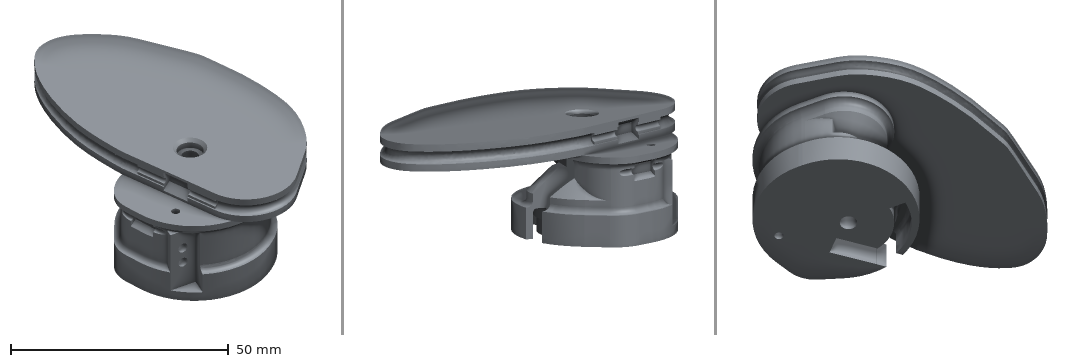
import cadquery as cq
import math

BASE_TOP = 7.45
LOWER_NECK_TOP = 10.65
UPPER_NECK_BOTTOM = 16.4
UPPER_FLANGE_BOTTOM = 19.6
MODULE_TOP = 21.15
CAM_TOP = 27.55
CAM_GROOVE_Z = (MODULE_TOP + CAM_TOP) / 2

MODULE_GROOVE_RADIUS = 1.6
CAM_GROOVE_RADIUS = 1.5
SHELF_TAPER = 45.0
REACH = 44.7

AXLE_X = 47.4
AXLE_Y = 21.4
AXLE_BORE = 4.0
CAM_COUNTERBORE = 6.25
CAM_COUNTERBORE_DEPTH = 2.3
CAM_COUNTERBORE_CHAMFER = 0.8
COUNTERSINK_TAPER = 45.0

ROUND_RADIUS = 18.75
ROUND_X = 49.6
ROUND_RIGHT = ROUND_X + ROUND_RADIUS
FRONT_ROUND_Y = ROUND_RADIUS
BACK_ROUND_Y = 19.7
POST_FLAT_LENGTH = 4.25
POST_FLAT_TILT = 19.0
SIDE_FLAT_FACING = 202.0
LOWER_TRACK_BACK = 32.45
LOWER_CORNER_START_Y = 28.3
UPPER_LEFT_RADIUS = 12.65
UPPER_CORNER_RADIUS = 11.55
UPPER_BACK = 36.3
CORE_BACK = 26.05

CHANNEL_FRONT = 54.35
CHANNEL_BACK = 61.05
CHANNEL_END = 27.55
SLOT_OUTER_RADIUS = 14.5
SLOT_INNER_RADIUS = 11.3
SLOT_STEP_RADIUS = 10.5
SLOT_STEP_HEIGHT = 4.0
SLOT_HEIGHT = 7.15
SLOT_FILLET = 0.9

BLOCK_BOTTOM = 2.4
BLOCK_TOP = UPPER_FLANGE_BOTTOM - MODULE_GROOVE_RADIUS
BLOCK_LEFT = 51.7
BLOCK_RIGHT = 61.05
BLOCK_FRONT_LEFT = 51.5
BLOCK_FRONT_RIGHT = 50.0
BLOCK_BACK = 41.7
BLOCK_HOLE = 2.4
BLOCK_HOLE_HEIGHTS = (9.15, 13.2)
PEG_HOLE = 2.1
PEG_HOLE_X = 50.7
PEG_HOLE_Y = 5.2

MODULE_POST_WIDTH = 6.7
MODULE_POST_SHIFT = 1.35
MODULE_POST_HALF_HEIGHT = 2.3
MODULE_POST_DEPTH = 3.3
MODULE_POST_FLOOR_HALF = 1.2
MODULE_POST_Z = 17.1
MODULE_CABLE_DIAMETER = 1.65
MODULE_CABLE_DEPTH = 1.8
MODULE_CABLE_LENGTH = 29.8
CAM_POST_WIDTH = 7.0
CAM_POST_HALF_HEIGHT = 2.5
CAM_POST_DEPTH = 2.3
CAM_POST_FLOOR_HALF = 1.2
CAM_CABLE_DIAMETER = 1.6
CAM_FLAT_DEPTH = 0.3

NOSE_X = 62.55
NOSE_Y = 18.6
NOSE_RADIUS = 11.9
FRONT_EDGE_TILT = 14.5
FRONT_EDGE_LENGTH = 22.55
RIGHT_EDGE_TILT = 11.5
RIGHT_EDGE_LENGTH = 9.7
CAM_BACK = 56.0
BACK_EDGE_LEFT = 19.35
BACK_EDGE_RIGHT = 32.0
RIGHT_CURVE = [(69.1, 37.8), (63.6, 44.2), (55.3, 49.3), (44.3, 53.45), (37.4, 55.3)]
LEFT_CURVE = [
    (14.0, 55.25),
    (8.5, 53.2),
    (3.0, 49.7),
    (0.0, 43.2),
    (1.3, 38.35),
    (5.7, 31.6),
    (14.0, 23.9),
    (25.0, 17.3),
    (33.65, 13.8),
]


def polar(x, y, radius, degrees):
    angle = math.radians(degrees)
    return (x + radius * math.cos(angle), y + radius * math.sin(angle))


def back_round_point(y, side):
    """Point on the back arc at height y, on the left (-1) or right (+1) side."""
    return (ROUND_X + side * math.sqrt(ROUND_RADIUS**2 - (y - BACK_ROUND_Y) ** 2), y)


POST_FLAT_RIGHT = polar(ROUND_X, FRONT_ROUND_Y, ROUND_RADIUS, -90 - POST_FLAT_TILT)
POST_FLAT_LEFT = polar(*POST_FLAT_RIGHT, POST_FLAT_LENGTH, 180 - POST_FLAT_TILT)
CAM_FLAT_RIGHT = polar(NOSE_X, NOSE_Y, NOSE_RADIUS, -90 - FRONT_EDGE_TILT)
CAM_FLAT_LEFT = polar(*CAM_FLAT_RIGHT, FRONT_EDGE_LENGTH, 180 - FRONT_EDGE_TILT)

SIDE_FLAT_BACK = polar(ROUND_X, BACK_ROUND_Y, ROUND_RADIUS, SIDE_FLAT_FACING)
SIDE_FLAT_INWARD = polar(0, 0, 1, SIDE_FLAT_FACING + 180)
CORNER_OFFSET = sum((POST_FLAT_LEFT[i] - SIDE_FLAT_BACK[i]) * SIDE_FLAT_INWARD[i] for i in (0, 1))
CORNER_TURN = math.radians(270 - POST_FLAT_TILT - SIDE_FLAT_FACING)
CORNER_RADIUS = CORNER_OFFSET / (1 - math.cos(CORNER_TURN))
CORNER_CENTRE = polar(*POST_FLAT_LEFT, CORNER_RADIUS, 90 - POST_FLAT_TILT)
SIDE_FLAT_FRONT = polar(*CORNER_CENTRE, CORNER_RADIUS, SIDE_FLAT_FACING)


def front_outline(z):
    """Front arc, post flat and left front corner, shared by all tiers of the module."""
    return (
        cq.Workplane("XY", origin=(0, 0, z))
        .moveTo(ROUND_RIGHT, FRONT_ROUND_Y)
        .threePointArc((ROUND_X, FRONT_ROUND_Y - ROUND_RADIUS), POST_FLAT_RIGHT)
        .lineTo(*POST_FLAT_LEFT)
        .tangentArcPoint(SIDE_FLAT_FRONT, relative=False)
    )


def base_outline(z):
    return (
        front_outline(z)
        .lineTo(*SIDE_FLAT_BACK)
        .threePointArc((ROUND_X, BACK_ROUND_Y + ROUND_RADIUS), (ROUND_RIGHT, BACK_ROUND_Y))
        .close()
    )


def lower_track_outline(z):
    """The base outline with its back flattened and its back corners rounded."""
    left = back_round_point(LOWER_CORNER_START_Y, -1)
    right = back_round_point(LOWER_CORNER_START_Y, 1)
    slope = (LOWER_CORNER_START_Y - BACK_ROUND_Y) / ROUND_RADIUS
    corner_radius = (LOWER_TRACK_BACK - LOWER_CORNER_START_Y) / (1 - slope)
    corner_x = corner_radius * math.sqrt(1 - slope**2)
    return (
        front_outline(z)
        .lineTo(*SIDE_FLAT_BACK)
        .threePointArc((ROUND_X - ROUND_RADIUS, BACK_ROUND_Y), left)
        .tangentArcPoint((left[0] + corner_x, LOWER_TRACK_BACK), relative=False)
        .lineTo(right[0] - corner_x, LOWER_TRACK_BACK)
        .tangentArcPoint(right, relative=False)
        .tangentArcPoint((ROUND_RIGHT, BACK_ROUND_Y), relative=False)
        .close()
    )


def upper_track_outline(z):
    """Left arc and back corner arc joined by their common tangent."""
    left = polar(*SIDE_FLAT_FRONT, UPPER_LEFT_RADIUS, SIDE_FLAT_FACING - 180)
    corner = (ROUND_RIGHT - UPPER_CORNER_RADIUS, UPPER_BACK - UPPER_CORNER_RADIUS)
    centre_angle = math.atan2(corner[1] - left[1], corner[0] - left[0])
    radius_angle = math.acos((UPPER_LEFT_RADIUS - UPPER_CORNER_RADIUS) / math.dist(left, corner))
    facing = math.degrees(centre_angle + radius_angle)
    return (
        front_outline(z)
        .tangentArcPoint(polar(*left, UPPER_LEFT_RADIUS, facing), relative=False)
        .lineTo(*polar(*corner, UPPER_CORNER_RADIUS, facing))
        .tangentArcPoint((ROUND_RIGHT, corner[1]), relative=False)
        .close()
    )


def cam_outline(z):
    right_edge_start = polar(NOSE_X, NOSE_Y, NOSE_RADIUS, RIGHT_EDGE_TILT)
    right_edge_end = polar(*right_edge_start, RIGHT_EDGE_LENGTH, 90 + RIGHT_EDGE_TILT)
    right_points = RIGHT_CURVE + [(BACK_EDGE_RIGHT, CAM_BACK)]
    left_points = LEFT_CURVE + [CAM_FLAT_LEFT]
    back_direction = (-1, 0)
    right_direction = polar(0, 0, 1, 90 + RIGHT_EDGE_TILT)
    front_direction = polar(0, 0, 1, -FRONT_EDGE_TILT)
    return (
        cq.Workplane("XY", origin=(0, 0, z))
        .moveTo(*CAM_FLAT_LEFT)
        .lineTo(*CAM_FLAT_RIGHT)
        .threePointArc(polar(NOSE_X, NOSE_Y, NOSE_RADIUS, -45), right_edge_start)
        .lineTo(*right_edge_end)
        .spline(right_points, tangents=[right_direction, back_direction], includeCurrent=True)
        .lineTo(BACK_EDGE_LEFT, CAM_BACK)
        .spline(left_points, tangents=[back_direction, front_direction], includeCurrent=True)
        .close()
    )


def round_groove(outline, start, tangent, radius, z):
    """Round cutter of the given radius that follows an outline."""
    plane = cq.Plane(origin=(*start, z), xDir=(0, 0, 1), normal=(*tangent, 0))
    return cq.Workplane(plane).circle(radius).sweep(outline(z), transition="round")


def diagonal_corner(total, difference):
    """Point with the given x + y and x - y."""
    return ((total + difference) / 2, (total - difference) / 2)


def diagonal_block(sums, start, ends, bottom, top):
    """Block turned 45 degrees between two values of x + y, from x - y = start to a slanted end."""
    corners = [
        diagonal_corner(sums[0], start),
        diagonal_corner(sums[0], ends[0]),
        diagonal_corner(sums[1], ends[1]),
        diagonal_corner(sums[1], start),
    ]
    return cq.Workplane("XY", origin=(0, 0, bottom)).polyline(corners).close().extrude(top - bottom)


def section_plane(left, right, z):
    """Plane across a straight outline edge: local x points into the body, local y up."""
    length = math.dist(left, right)
    along = ((right[0] - left[0]) / length, (right[1] - left[1]) / length)
    middle = ((left[0] + right[0]) / 2, (left[1] + right[1]) / 2, z)
    return cq.Plane(origin=middle, xDir=(-along[1], along[0], 0), normal=(*along, 0))


def post_pocket(plane, width, half_height, flare_start, depth, floor_half):
    """Pocket whose top and bottom close in from flare_start to a narrow floor."""
    outside = -depth
    return (
        cq.Workplane(plane)
        .moveTo(outside, -half_height)
        .lineTo(flare_start, -half_height)
        .lineTo(depth, -floor_half)
        .lineTo(depth, floor_half)
        .lineTo(flare_start, half_height)
        .lineTo(outside, half_height)
        .close()
        .extrude(width / 2, both=True)
    )


def cable_bore(plane, diameter, depth, length):
    return cq.Workplane(plane).center(depth, 0).circle(diameter / 2).extrude(length / 2, both=True)


def axle_cylinder(diameter, bottom, top):
    return cq.Workplane("XY", origin=(AXLE_X, AXLE_Y, bottom)).circle(diameter / 2).extrude(top - bottom)


def make_cam():
    cam = cam_outline(MODULE_TOP).extrude(CAM_TOP - MODULE_TOP)
    plane = section_plane(CAM_FLAT_LEFT, CAM_FLAT_RIGHT, CAM_GROOVE_Z)

    front_direction = polar(0, 0, 1, -FRONT_EDGE_TILT)
    groove = round_groove(cam_outline, CAM_FLAT_LEFT, front_direction, CAM_GROOVE_RADIUS, CAM_GROOVE_Z)
    flat_backing = (
        cq.Workplane(plane)
        .center(CAM_FLAT_DEPTH + CAM_GROOVE_RADIUS, 0)
        .rect(2 * CAM_GROOVE_RADIUS, 3 * CAM_GROOVE_RADIUS)
        .extrude(FRONT_EDGE_LENGTH / 2, both=True)
    )
    cam = cam.cut(groove.cut(flat_backing))
    cam = cam.cut(cable_bore(plane, CAM_CABLE_DIAMETER, CAM_FLAT_DEPTH, FRONT_EDGE_LENGTH))
    cam = cam.cut(
        post_pocket(plane, CAM_POST_WIDTH, CAM_POST_HALF_HEIGHT, 0, CAM_POST_DEPTH, CAM_POST_FLOOR_HALF)
    )

    cam = cam.cut(axle_cylinder(AXLE_BORE, MODULE_TOP, CAM_TOP))
    counterbore = axle_cylinder(CAM_COUNTERBORE, CAM_TOP - CAM_COUNTERBORE_DEPTH, CAM_TOP)
    countersink = (
        cq.Workplane("XY", origin=(AXLE_X, AXLE_Y, CAM_TOP))
        .circle(CAM_COUNTERBORE / 2 + CAM_COUNTERBORE_CHAMFER)
        .extrude(-CAM_COUNTERBORE_CHAMFER, taper=COUNTERSINK_TAPER)
    )
    return cam.cut(counterbore).cut(countersink)


def neck_prism(outline, bottom, height, taper=0):
    """The neck inside a grooved outline; with a taper it closes in to form a shelf."""
    return outline(bottom).offset2D(-MODULE_GROOVE_RADIUS).extrude(height, taper=taper)


def fillet_tier(outline, bottom, top, groove_z):
    """Tier with the round groove taken out along its outline."""
    start = (ROUND_RIGHT, FRONT_ROUND_Y)
    groove = round_groove(outline, start, (0, -1), MODULE_GROOVE_RADIUS, groove_z)
    return outline(bottom).extrude(top - bottom).cut(groove)


def make_module_body():
    """Two grooved tiers joined by a core and by 45 degree shelves."""
    lower_fillet_top = BASE_TOP + MODULE_GROOVE_RADIUS
    upper_fillet_bottom = UPPER_FLANGE_BOTTOM - MODULE_GROOVE_RADIUS
    shelf_height = UPPER_NECK_BOTTOM - LOWER_NECK_TOP
    core_height = MODULE_TOP - BASE_TOP

    core = neck_prism(lower_track_outline, BASE_TOP, core_height)
    core = core.intersect(neck_prism(upper_track_outline, BASE_TOP, core_height))
    core = core.intersect(
        cq.Workplane("XY", origin=(0, 0, BASE_TOP))
        .rect(ROUND_RIGHT, CORE_BACK, centered=False)
        .extrude(core_height)
    )

    tiers = [
        neck_prism(lower_track_outline, LOWER_NECK_TOP, shelf_height, SHELF_TAPER),
        neck_prism(upper_track_outline, UPPER_NECK_BOTTOM, -shelf_height, SHELF_TAPER),
        neck_prism(lower_track_outline, BASE_TOP, LOWER_NECK_TOP - BASE_TOP),
        neck_prism(upper_track_outline, UPPER_NECK_BOTTOM, MODULE_TOP - UPPER_NECK_BOTTOM),
        base_outline(0).extrude(BASE_TOP),
        fillet_tier(lower_track_outline, BASE_TOP, lower_fillet_top, lower_fillet_top),
        fillet_tier(upper_track_outline, upper_fillet_bottom, MODULE_TOP, upper_fillet_bottom),
    ]
    body = core
    for tier in tiers:
        body = body.union(tier)
    return body


def arc_slot():
    """Stepped quarter-ring slot, open at the bottom, that runs back from the channel."""
    ring = axle_cylinder(2 * SLOT_OUTER_RADIUS, 0, SLOT_HEIGHT)
    ring = ring.cut(axle_cylinder(2 * SLOT_INNER_RADIUS, 0, SLOT_HEIGHT))
    ring = ring.faces(">Z").edges().fillet(SLOT_FILLET)
    step = axle_cylinder(2 * SLOT_OUTER_RADIUS, 0, SLOT_STEP_HEIGHT)
    step = step.cut(axle_cylinder(2 * SLOT_STEP_RADIUS, 0, SLOT_STEP_HEIGHT))
    quadrant = (
        cq.Workplane("XY", origin=(AXLE_X, AXLE_Y, 0))
        .rect(-REACH, REACH, centered=False)
        .extrude(SLOT_HEIGHT)
    )
    return ring.union(step).intersect(quadrant)


def peg_hole():
    return cq.Workplane("XY", origin=(PEG_HOLE_X, PEG_HOLE_Y, 0)).circle(PEG_HOLE / 2).extrude(MODULE_TOP)


def make_module():
    module = make_module_body()
    channel_walls = (CHANNEL_FRONT, CHANNEL_BACK)
    channel_ends = (CHANNEL_END, CHANNEL_END)
    module = module.cut(diagonal_block(channel_walls, -REACH, channel_ends, 0, MODULE_TOP))
    module = module.cut(arc_slot())
    module = module.cut(axle_cylinder(AXLE_BORE, 0, MODULE_TOP))

    plane = section_plane(POST_FLAT_LEFT, POST_FLAT_RIGHT, MODULE_POST_Z)
    module = module.cut(cable_bore(plane, MODULE_CABLE_DIAMETER, MODULE_CABLE_DEPTH, MODULE_CABLE_LENGTH))
    post_plane = cq.Workplane(plane).workplane(offset=MODULE_POST_SHIFT).plane
    module = module.cut(
        post_pocket(
            post_plane,
            MODULE_POST_WIDTH,
            MODULE_POST_HALF_HEIGHT,
            MODULE_GROOVE_RADIUS,
            MODULE_POST_DEPTH,
            MODULE_POST_FLOOR_HALF,
        )
    )

    open_ends = (2 * REACH, 2 * REACH)
    recess = diagonal_block((BLOCK_LEFT, BLOCK_RIGHT), BLOCK_BACK, open_ends, BLOCK_BOTTOM, BLOCK_TOP)
    return module.cut(recess).cut(peg_hole())


def make_stop_block():
    ends = (BLOCK_FRONT_LEFT, BLOCK_FRONT_RIGHT)
    block = diagonal_block((BLOCK_LEFT, BLOCK_RIGHT), BLOCK_BACK, ends, BLOCK_BOTTOM, BLOCK_TOP)
    block = block.cut(peg_hole())

    middle = diagonal_corner((BLOCK_LEFT + BLOCK_RIGHT) / 2, (BLOCK_FRONT_LEFT + BLOCK_FRONT_RIGHT) / 2)
    length = math.dist(middle, (PEG_HOLE_X, PEG_HOLE_Y))
    inward = (PEG_HOLE_X - middle[0], PEG_HOLE_Y - middle[1], 0)
    for height in BLOCK_HOLE_HEIGHTS:
        plane = cq.Plane(origin=(*middle, height), xDir=(0, 0, 1), normal=inward)
        bore = cq.Workplane(plane).workplane(offset=-length).circle(BLOCK_HOLE / 2).extrude(2 * length)
        block = block.cut(bore)
    return block


cam = make_cam()
module = make_module()
stop_block = make_stop_block()
result = cq.Compound.makeCompound([cam.val(), module.val(), stop_block.val()])